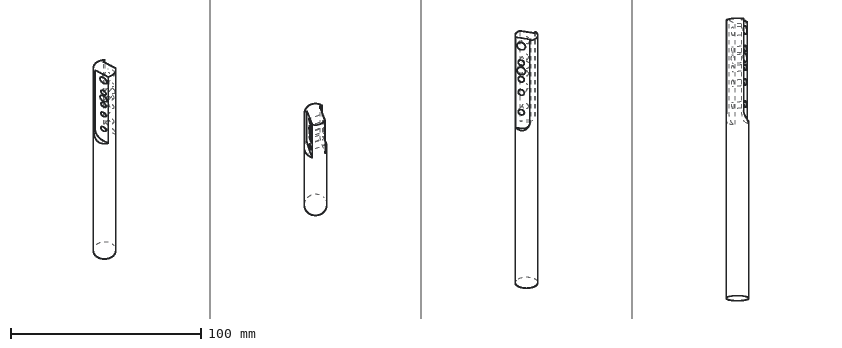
import cadquery as cq

rod_diameter = 12.0
rod_length = 150.0
rod_radius = rod_diameter / 2

web_thickness = 7.2
flat_length = 54.8
flat_left_x = -3.3
flat_corner_radius = 5.0

hole_x = 1.8
large_hole_diameter = 4.5
small_hole_diameter = 3.3
large_hole_depths = [5.0, 20.0]
small_hole_depths = [15.0, 25.0, 33.0, 45.0]


def flat_cutter(side):
    """Block that mills one flat, with a rounded lower left corner; side is +1 or -1 along Y."""
    cut_width = rod_radius - flat_left_x
    cut_depth = rod_radius - web_thickness / 2
    return (
        cq.Workplane("XY")
        .box(cut_width, cut_depth, flat_length, centered=False)
        .edges("|Y and <X and <Z")
        .fillet(flat_corner_radius)
        .translate((flat_left_x, -cut_depth / 2, rod_length - flat_length))
        .translate((0, side * (web_thickness + cut_depth) / 2, 0))
    )


def cross_holes(diameter, depths):
    """Cylinders along Y through the whole rod at the given distances below the top."""
    centres = [(hole_x, rod_length - depth) for depth in depths]
    return (
        cq.Workplane("XZ")
        .pushPoints(centres)
        .circle(diameter / 2)
        .extrude(rod_radius, both=True)
    )


rod = cq.Workplane("XY").circle(rod_radius).extrude(rod_length)

for side in (1, -1):
    rod = rod.cut(flat_cutter(side))

rod = rod.cut(cross_holes(large_hole_diameter, large_hole_depths))
rod = rod.cut(cross_holes(small_hole_diameter, small_hole_depths))

result = rod